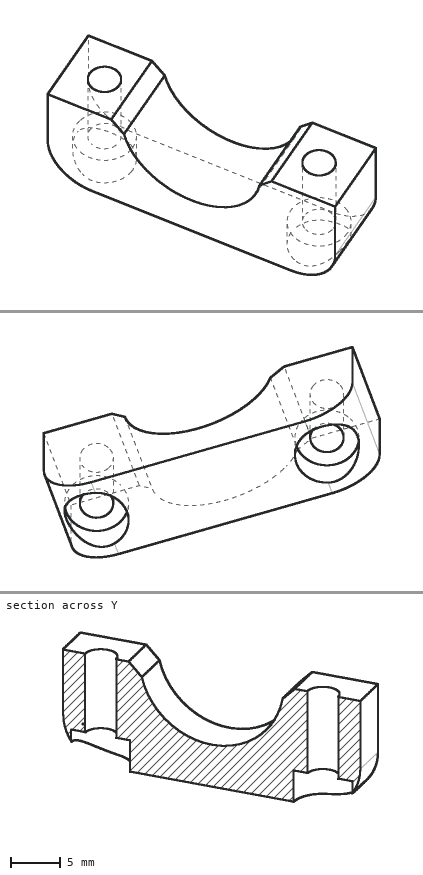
import cadquery as cq

length = 33.02
width = 8.89
height = 12.7
left_step = 0.36
corner_radius = 5.08
pad_length = 7.3

bore_diameter = 15.9
bevel_depth = 2.0

bolt_spacing = 24.64
bolt_diameter = 3.4
counterbore_diameter = 6.5
counterbore_depth = 3.5

half_length = length / 2
left_top = height - left_step
bevel_top = half_length - pad_length
bevel_foot = bevel_top - bevel_depth


def make_block():
    """Block along Y with rounded lower corners and a bevelled notch between two top pads."""
    profile = (
        cq.Workplane("XZ", origin=(0, width / 2, 0))
        .moveTo(-half_length, 0)
        .lineTo(half_length, 0)
        .lineTo(half_length, height)
        .lineTo(bevel_top, height)
        .lineTo(bevel_foot, height - bevel_depth)
        .lineTo(-bevel_foot, left_top - bevel_depth)
        .lineTo(-bevel_top, left_top)
        .lineTo(-half_length, left_top)
        .close()
    )
    block = profile.extrude(width)
    return block.faces("<Z").edges("|Y").fillet(corner_radius)


def cut_saddle(body):
    """Half-round saddle through the full width; it removes the floor of the notch."""
    bore = (
        cq.Workplane("XZ", origin=(0, width / 2, height))
        .circle(bore_diameter / 2)
        .extrude(width)
    )
    return body.cut(bore)


def cut_bolt_holes(body):
    """Vertical through holes, counterbored from the underside through the rounded corners."""
    for x in (-bolt_spacing / 2, bolt_spacing / 2):
        base = cq.Workplane("XY").center(x, 0)
        body = body.cut(base.circle(bolt_diameter / 2).extrude(height))
        body = body.cut(base.circle(counterbore_diameter / 2).extrude(counterbore_depth))
    return body


result = cut_bolt_holes(cut_saddle(make_block()))